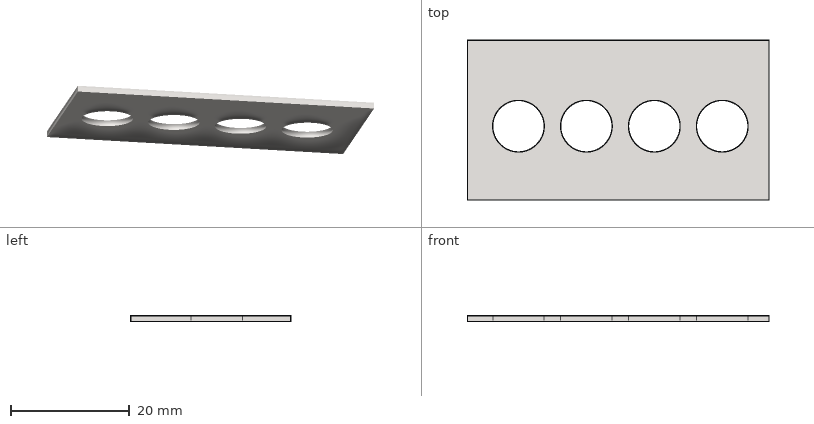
import cadquery as cq

length = 50.8
width = 26.9
thickness = 1.0

hole_count = 4
hole_diameter = 8.65
hole_pitch = 11.45
row_offset_x = 0.35
row_offset_y = -1.0

plate = cq.Workplane("XY").box(length, width, thickness)

result = (
    plate.faces(">Z")
    .workplane(origin=(row_offset_x, row_offset_y, 0))
    .rarray(hole_pitch, 0.5, hole_count, 1)
    .hole(hole_diameter)
)